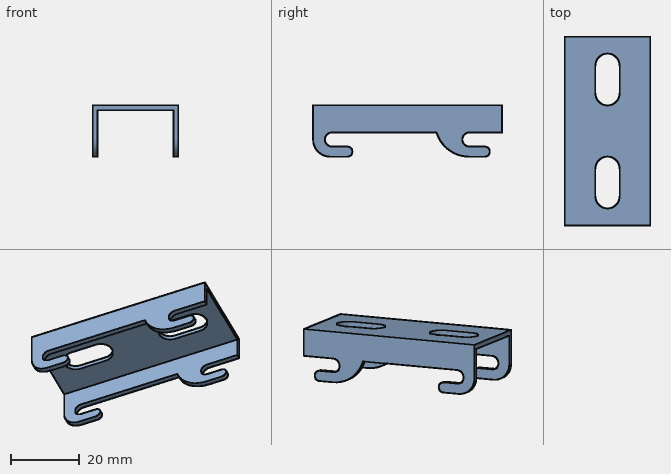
import cadquery as cq
import math

length = 55.0
width = 25.0
thickness = 1.5

flange_height = 8.0
throat_height = 4.0
finger_thickness = 3.0
height = flange_height + throat_height + finger_thickness

hook_pitch = 40.0
end_hook_y = -length / 2 + 5.5
inner_hook_y = end_hook_y + hook_pitch
finger_reach = 6.0
end_hook_radius = 5.0
inner_hook_radius = 10.0

slot_length = 15.0
slot_width = 7.0
slot_spacing = 30.0

flange_bottom = finger_thickness + throat_height
throat_radius = throat_height / 2
tip_radius = finger_thickness / 2


def hook_start(throat_y):
    """Outline from the throat roof, round its end and the finger tip, to the hook's underside."""
    tip_centre_y = throat_y + finger_reach - tip_radius
    return (
        cq.Workplane("YZ")
        .moveTo(throat_y, flange_bottom)
        .threePointArc((throat_y - throat_radius, finger_thickness + throat_radius),
                       (throat_y, finger_thickness))
        .lineTo(tip_centre_y, finger_thickness)
        .threePointArc((tip_centre_y + tip_radius, tip_radius), (tip_centre_y, 0))
    )


def end_hook():
    """Hook flush with the -Y end, with a rounded outer corner."""
    end_y = -length / 2
    corner_y = end_y + end_hook_radius
    diagonal = end_hook_radius * math.sqrt(0.5)
    return (
        hook_start(end_hook_y)
        .lineTo(corner_y, 0)
        .threePointArc((corner_y - diagonal, end_hook_radius - diagonal), (end_y, end_hook_radius))
        .lineTo(end_y, flange_bottom)
        .close()
        .extrude(width)
    )


def inner_hook():
    """Hook whose back sweeps up to the flange in one arc."""
    sweep = math.acos(1 - flange_bottom / inner_hook_radius)

    def back_point(angle):
        return (inner_hook_y - inner_hook_radius * math.sin(angle),
                inner_hook_radius * (1 - math.cos(angle)))

    return (
        hook_start(inner_hook_y)
        .lineTo(inner_hook_y, 0)
        .threePointArc(back_point(sweep / 2), back_point(sweep))
        .close()
        .extrude(width)
    )


def mounting_slots():
    return (
        cq.Workplane("XY")
        .pushPoints([(0, -slot_spacing / 2), (0, slot_spacing / 2)])
        .slot2D(slot_length, slot_width, 90)
        .extrude(height)
    )


body = (
    cq.Workplane("XY")
    .box(width, length, flange_height, centered=(True, True, False))
    .translate((0, 0, flange_bottom))
)
hooks = end_hook().union(inner_hook()).translate((-width / 2, 0, 0))
channel = cq.Workplane("XY").box(
    width - 2 * thickness, length, height - thickness, centered=(True, True, False)
)

result = body.union(hooks).cut(channel).cut(mounting_slots())